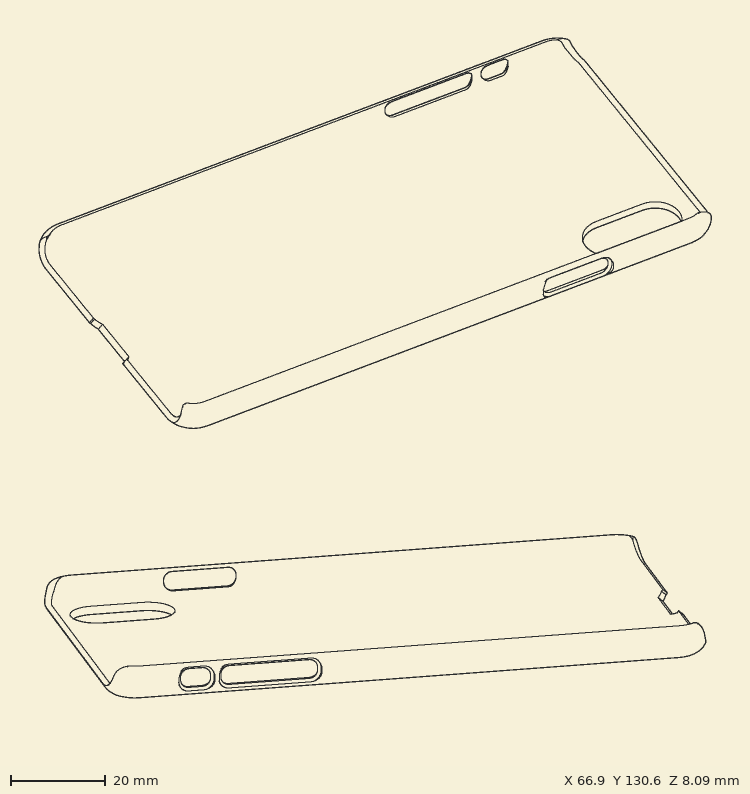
import cadquery as cq
import math

width = 66.9
case_length = 130.6
height = 7.6
bottom_round = 4.0
band_top = 4.8
top_round = height - band_top
wall = 1.3
lip_opening_inset = 2.2
corner_radius = 7.2
half_width = width / 2

front_rim_height = 1.8
front_post_inset = 1.8
front_post_inner_inset = 3.7
front_opening_round = 4.6
back_rim_height = 2.6
back_post_inset = 2.7
back_opening_round = 3.3
flare_angle = 40.0


def bottom_inset(z):
    """Distance of the bottom round's surface from the upright side at height z."""
    return bottom_round - math.sqrt(bottom_round**2 - (bottom_round - z)**2)


front_y = -case_length / 2 - bottom_inset(front_rim_height)
back_y = case_length / 2 + bottom_inset(back_rim_height)

notch_bottom_width = 11.5
notch_top_width = 14.5
notch_flare_height = 1.3
notch_inset = 3.1
notch_start_height = 1.6

opening_height = 5.5
opening_center_z = 4.3
opening_recess = 0.8
opening_flare = 0.7
opening_corner = 2.5
switch_y = (42.6, 50.4)
volume_y = (19.3, 41.7)
power_y = (22.0, 38.9)

camera_x = 22.5
camera_y = 49.5
camera_width = 11.4
camera_length = 22.5
rim_width = 1.2
rim_height = 0.57


def rounded_body(inset, floor, top_inset):
    """Solid with the rounded shell section, offset inward by inset and starting at floor."""
    radius = corner_radius - inset
    round_radius = bottom_round - inset
    half_x = half_width - corner_radius
    y_low = front_y + corner_radius
    y_high = back_y - corner_radius
    rise = height - band_top
    lean = top_inset - inset
    lip_radius = (rise**2 + lean**2) / (2 * lean)
    lip_mid_z = rise / 2
    lip_mid_lean = lip_radius - math.sqrt(lip_radius**2 - lip_mid_z**2)
    diagonal = round_radius * math.sqrt(0.5)

    def edge_section():
        """Half section measured outward from a corner centre."""
        return (
            cq.Workplane("XZ")
            .moveTo(0, floor)
            .lineTo(radius - round_radius, floor)
            .threePointArc(
                (radius - round_radius + diagonal, bottom_round - diagonal),
                (radius, bottom_round),
            )
            .lineTo(radius, band_top)
            .threePointArc((radius - lip_mid_lean, band_top + lip_mid_z), (radius - lean, height))
            .lineTo(0, height)
            .close()
        )

    body = (
        cq.Workplane("XY", origin=(0, (y_low + y_high) / 2, floor))
        .rect(2 * half_x, y_high - y_low)
        .extrude(height - floor)
    )
    stops = [
        (half_x, y_low, 0, y_high - y_low),
        (half_x, y_high, 90, 2 * half_x),
        (-half_x, y_high, 180, y_high - y_low),
        (-half_x, y_low, 270, 2 * half_x),
    ]
    for x, y, turn, run in stops:
        edge = edge_section().extrude(-run)
        corner = edge_section().revolve(90, (0, 0, 0), (0, -1, 0))
        for piece in (edge, corner):
            body = body.union(piece.rotate((0, 0, 0), (0, 0, 1), turn).translate((x, y, 0)))
    return body


def opening_outline(outer_y, rim, post_inset, corner):
    """End opening in the XZ plane at outer_y, reaching far above the shell."""
    outline_height = 2 * height
    return (
        cq.Workplane("XZ", origin=(0, outer_y, rim + outline_height / 2))
        .sketch()
        .rect(2 * (half_width - post_inset), outline_height)
        .vertices()
        .fillet(corner)
        .finalize()
    )


def front_opening():
    """Cutter whose outline narrows inward through the front wall."""
    rim_y = -case_length / 2
    narrowing = front_post_inner_inset - front_post_inset
    flare_depth = narrowing / math.tan(math.radians(flare_angle))
    outer = opening_outline(rim_y, front_rim_height, front_post_inset, front_opening_round)
    inner = opening_outline(
        rim_y + flare_depth,
        front_rim_height + narrowing,
        front_post_inner_inset,
        front_opening_round - narrowing,
    )
    outside = outer.extrude(corner_radius)
    flare = outer.extrude(-flare_depth, taper=flare_angle)
    inside = inner.extrude(-corner_radius)
    return outside.union(flare).union(inside)


def back_opening():
    profile = (back_y, back_rim_height, back_post_inset, back_opening_round)
    return opening_outline(*profile).extrude(corner_radius, both=True)


def thumb_notch():
    tilt = math.radians(flare_angle)
    plane = cq.Plane(
        origin=(0, front_y + notch_inset, notch_start_height),
        xDir=(1, 0, 0),
        normal=(0, -math.cos(tilt), -math.sin(tilt)),
    )
    half_bottom = notch_bottom_width / 2
    half_top = notch_top_width / 2
    return (
        cq.Workplane(plane)
        .polyline([
            (-half_bottom, 0),
            (half_bottom, 0),
            (half_top, notch_flare_height),
            (half_top, height),
            (-half_top, height),
            (-half_top, notch_flare_height),
        ])
        .close()
        .extrude(2 * notch_inset)
    )


def side_opening(side, y_range):
    """Cutter through one side wall, recessed then narrowing; side is -1 for left, 1 for right."""
    y_start, y_end = y_range
    center_y = (y_start + y_end) / 2

    def outline(plane_x, shrink):
        return (
            cq.Workplane("YZ", origin=(plane_x, center_y, opening_center_z))
            .sketch()
            .rect(y_end - y_start - 2 * shrink, opening_height - 2 * shrink)
            .vertices()
            .fillet(opening_corner - shrink)
            .finalize()
        )

    recess_x = side * (half_width - opening_recess)
    flare_run = wall - opening_recess
    taper = math.degrees(math.atan(opening_flare / flare_run))
    recess = outline(recess_x, 0).extrude(side * wall)
    flare = outline(recess_x, 0).extrude(-side * flare_run, taper=taper)
    through = outline(side * half_width, opening_flare).extrude(-side * 2 * wall)
    return recess.union(flare).union(through)


def camera_slot(margin, bottom, depth):
    return (
        cq.Workplane("XY", origin=(camera_x, camera_y, bottom))
        .slot2D(camera_length + 2 * margin, camera_width + 2 * margin, 90)
        .extrude(depth)
    )


shell = rounded_body(0, 0, top_round)
cavity = rounded_body(wall, wall, lip_opening_inset)

shell = shell.union(camera_slot(rim_width, -rim_height, rim_height + wall)).cut(cavity)
shell = shell.cut(camera_slot(0, -height, 2 * height))

shell = shell.cut(front_opening())
shell = shell.cut(back_opening())
shell = shell.cut(thumb_notch())

shell = shell.cut(side_opening(-1, switch_y))
shell = shell.cut(side_opening(-1, volume_y))
shell = shell.cut(side_opening(1, power_y))

result = shell